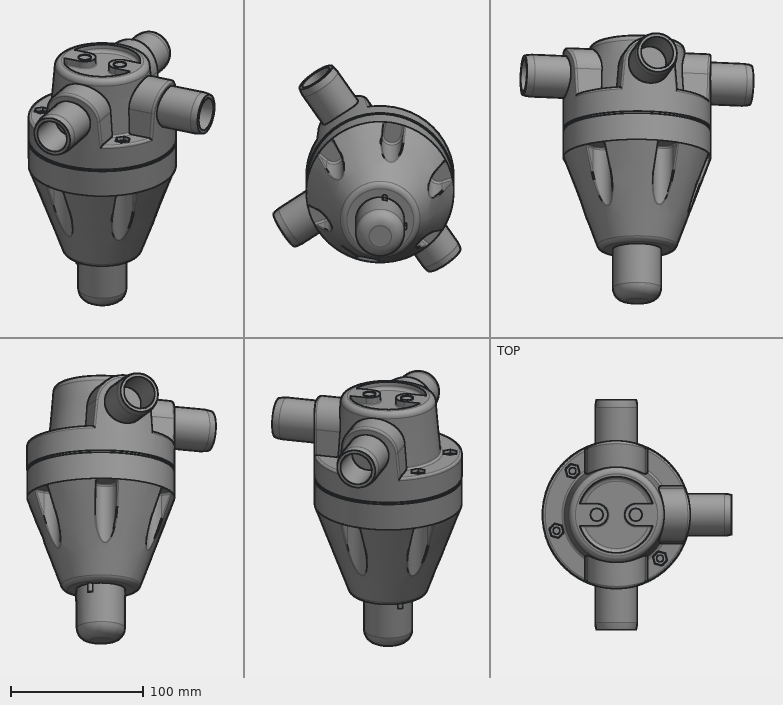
import cadquery as cq
import math

TOLERANCE = 0.02

DRAFT = 5.0

TOTAL_HEIGHT = 199.0
PORT_AXIS_Z = 172.0
HEAD_TOP_Z = 153.6
HEAD_BOTTOM_Z = 134.0
FLANGE_TOP_Z = 132.3
FLANGE_BOTTOM_Z = 111.8
BOWL_BOTTOM_Z = 40.0

HEAD_RADIUS = 56.0
HEAD_RIM_FILLET = 2.0
CAP_BASE_RADIUS = 39.6
CAP_BASE_FILLET = 1.8
CAP_TOP_FILLET = 5.0

RECESS_RADIUS = 28.9
RECESS_DEPTH = 5.4
RECESS_DRAFT = 8.0
RECESS_FLOOR_FILLET = 3.0
TAB_WIDTH = 16.5
TAB_OFFSET = 14.7
TAB_DRAFT = 2.0
TAB_FOOT_FILLET = 0.5
DIMPLE_RADIUS = 4.8
DIMPLE_DEPTH = 0.5

SIDE_HOUSING_RADIUS = 22.0
END_HOUSING_RADIUS = 20.0
SPIGOT_DIAMETER = 32.0
SPIGOT_RADIUS = SPIGOT_DIAMETER / 2
SPIGOT_REACH_X = 87.2
SPIGOT_REACH_Y = 87.0
SPIGOT_BORE_RADIUS = 12.3
SPIGOT_TIP_LENGTH = 5.5
SPIGOT_TIP_INSET = 1.0

GAP_RADIUS = 55.3
FLANGE_STEP = 0.1
FLANGE_RADIUS = HEAD_RADIUS - FLANGE_STEP
BOWL_BOTTOM_RADIUS = 28.9
BOWL_FILLET = 5.2
PIN_DIAMETER = 36.8
PIN_RADIUS = PIN_DIAMETER / 2
PIN_FILLET = 10.0

RIB_RADIUS = 1.9
RIB_CIRCLE_RADIUS = 18.7
RIB_BOTTOM_Z = 33.5
RIB_ANGLES = (135, 225)

SCREW_CIRCLE_RADIUS = 46.8
SCREW_COUNT = 6
SCREW_START_ANGLE = 15
EXPOSED_SCREW_ANGLES = (135, 195, 315)
HEX_CORNER_DIAMETER = 11.5
HEX_DEPTH = 2.8
HEX_DRAFT = 8.0
HEX_TURN = 30
SCREW_HOLE_RADIUS = 2.5
SLOT_RADIUS = 8.0
SLOT_TOP_FILLET = 1.5
SLOT_RIM_FILLET = 0.8


def cylinder(radius, bottom, top):
    return cq.Workplane("XY").workplane(offset=bottom).circle(radius).extrude(top - bottom)


def polar_point(radius, angle):
    return (radius * math.cos(math.radians(angle)), radius * math.sin(math.radians(angle)))


def distance_from_axis(point):
    return math.hypot(point.x, point.y)


def is_cap_base(edge):
    """True for the circle where the cap meets the head disc."""
    middle = edge.positionAt(0.5)
    at_disc_top = abs(middle.z - HEAD_TOP_Z) < TOLERANCE
    return at_disc_top and abs(distance_from_axis(middle) - CAP_BASE_RADIUS) < TOLERANCE


def make_cap():
    """Head disc with the tapered cap rising from it."""
    cap = (
        cq.Workplane("XY")
        .workplane(offset=HEAD_TOP_Z)
        .circle(CAP_BASE_RADIUS)
        .extrude(TOTAL_HEIGHT - HEAD_TOP_Z, taper=DRAFT)
        .faces(">Z")
        .edges()
        .fillet(CAP_TOP_FILLET)
    )
    disc = cylinder(HEAD_RADIUS, HEAD_BOTTOM_Z, HEAD_TOP_Z)
    return disc.union(cap).edges().filter(is_cap_base).fillet(CAP_BASE_FILLET)


def make_housing(radius, angle):
    """Arch with drafted sides, running outward from the axis and ending on the head cylinder."""
    draft = math.radians(DRAFT)
    drop = PORT_AXIS_Z - HEAD_TOP_Z
    foot = radius / math.cos(draft) + drop * math.tan(draft)
    tangent_x = radius * math.cos(draft)
    tangent_z = radius * math.sin(draft)
    arch = (
        cq.Workplane("YZ", origin=(0, 0, PORT_AXIS_Z))
        .moveTo(-foot, -drop)
        .lineTo(-tangent_x, tangent_z)
        .threePointArc((0, radius), (tangent_x, tangent_z))
        .lineTo(foot, -drop)
        .close()
        .extrude(HEAD_RADIUS + foot)
        .rotate((0, 0, 0), (0, 0, 1), angle)
    )
    return arch.intersect(cylinder(HEAD_RADIUS, HEAD_TOP_Z, TOTAL_HEIGHT))


def is_head_rim(edge):
    """True for upper edges of the head's outer cylinder, across the disc and over each housing."""
    middle = edge.positionAt(0.5)
    on_cylinder = abs(distance_from_axis(middle) - HEAD_RADIUS) < TOLERANCE
    return on_cylinder and middle.z > HEAD_TOP_Z - TOLERANCE


def make_head():
    head = make_cap()
    head = head.union(make_housing(SIDE_HOUSING_RADIUS, 90))
    head = head.union(make_housing(SIDE_HOUSING_RADIUS, 270))
    head = head.union(make_housing(END_HOUSING_RADIUS, 0))
    return head.edges().filter(is_head_rim).fillet(HEAD_RIM_FILLET)


def is_tab_foot(edge):
    """True for recess floor edges along a tab, which lie well inside the outer wall."""
    middle = edge.positionAt(0.5)
    return distance_from_axis(middle) < RECESS_RADIUS - 2 * RECESS_FLOOR_FILLET


def make_recess():
    """Solid to remove from the cap top, leaving the two tabs standing."""
    recess = (
        cq.Workplane("XY")
        .workplane(offset=TOTAL_HEIGHT)
        .circle(RECESS_RADIUS)
        .extrude(-RECESS_DEPTH, taper=RECESS_DRAFT)
        .faces("<Z")
        .edges()
        .fillet(RECESS_FLOOR_FILLET)
    )
    for side in (-1, 1):
        tab = (
            cq.Workplane("XY")
            .workplane(offset=TOTAL_HEIGHT)
            .center(side * (TAB_OFFSET + RECESS_RADIUS / 2), 0)
            .slot2D(RECESS_RADIUS + TAB_WIDTH, TAB_WIDTH)
            .extrude(-RECESS_DEPTH, taper=-TAB_DRAFT)
        )
        recess = recess.cut(tab)
    recess = recess.faces("<Z").edges().filter(is_tab_foot).fillet(TAB_FOOT_FILLET)
    dimples = (
        cq.Workplane("XY")
        .workplane(offset=TOTAL_HEIGHT)
        .pushPoints([(-TAB_OFFSET, 0), (TAB_OFFSET, 0)])
        .circle(DIMPLE_RADIUS)
        .extrude(-DIMPLE_DEPTH)
    )
    return recess.union(dimples)


def make_spigot(reach, angle):
    """Hose spigot from the axis outward, with a rounded tip."""
    tip_radius = SPIGOT_RADIUS - SPIGOT_TIP_INSET
    return (
        cq.Workplane("XY")
        .lineTo(0, -SPIGOT_RADIUS)
        .lineTo(reach - SPIGOT_TIP_LENGTH, -SPIGOT_RADIUS)
        .tangentArcPoint((reach, -tip_radius), relative=False)
        .lineTo(reach, 0)
        .close()
        .revolve(360, (0, 0, 0), (1, 0, 0))
        .translate((0, 0, PORT_AXIS_Z))
        .rotate((0, 0, 0), (0, 0, 1), angle)
    )


def make_bore(reach, angle):
    """Blind bore running from the spigot mouth to the head's outer radius."""
    return (
        cq.Workplane("YZ", origin=(HEAD_RADIUS, 0, PORT_AXIS_Z))
        .circle(SPIGOT_BORE_RADIUS)
        .extrude(reach - HEAD_RADIUS)
        .rotate((0, 0, 0), (0, 0, 1), angle)
    )


def make_slot(angle):
    """Outward-open U-shaped slot around one screw axis, with a rounded ceiling."""
    return (
        cq.Workplane("XY")
        .workplane(offset=BOWL_BOTTOM_Z)
        .center(SCREW_CIRCLE_RADIUS + HEAD_RADIUS / 2, 0)
        .slot2D(HEAD_RADIUS + 2 * SLOT_RADIUS, 2 * SLOT_RADIUS)
        .extrude(FLANGE_BOTTOM_Z - BOWL_BOTTOM_Z)
        .faces(">Z")
        .edges()
        .fillet(SLOT_TOP_FILLET)
        .rotate((0, 0, 0), (0, 0, 1), angle)
    )


def is_slot_rim(edge):
    """True for the curved edges where a slot opens through the outer cone."""
    middle = edge.positionAt(0.5)
    slope = (FLANGE_RADIUS - BOWL_BOTTOM_RADIUS) / (FLANGE_BOTTOM_Z - BOWL_BOTTOM_Z)
    cone_radius = BOWL_BOTTOM_RADIUS + slope * (middle.z - BOWL_BOTTOM_Z)
    on_cone = abs(distance_from_axis(middle) - cone_radius) < TOLERANCE
    below_flange = middle.z < FLANGE_BOTTOM_Z - TOLERANCE
    above_foot = middle.z > BOWL_BOTTOM_Z + BOWL_FILLET
    is_curved = edge.geomType() != "LINE"
    return on_cone and below_flange and above_foot and is_curved


def make_bowl():
    """Lower flange and slotted cone."""
    bowl = (
        cq.Workplane("XZ")
        .moveTo(0, BOWL_BOTTOM_Z)
        .lineTo(BOWL_BOTTOM_RADIUS, BOWL_BOTTOM_Z)
        .lineTo(FLANGE_RADIUS, FLANGE_BOTTOM_Z)
        .lineTo(FLANGE_RADIUS, FLANGE_TOP_Z)
        .lineTo(0, FLANGE_TOP_Z)
        .close()
        .revolve(360, (0, 0, 0), (0, 1, 0))
        .faces("<Z")
        .edges()
        .fillet(BOWL_FILLET)
    )
    for index in range(SCREW_COUNT):
        bowl = bowl.cut(make_slot(SCREW_START_ANGLE + index * 360 / SCREW_COUNT))
    return bowl.edges().filter(is_slot_rim).fillet(SLOT_RIM_FILLET)


def make_pin():
    """Round-ended drain pin with its bayonet ribs."""
    pin = cylinder(PIN_RADIUS, 0, BOWL_BOTTOM_Z).faces("<Z").edges().fillet(PIN_FILLET)
    for angle in RIB_ANGLES:
        rib = cylinder(RIB_RADIUS, RIB_BOTTOM_Z, BOWL_BOTTOM_Z)
        x, y = polar_point(RIB_CIRCLE_RADIUS, angle)
        pin = pin.union(rib.translate((x, y, 0)))
    return pin


def make_screw_recess(angle):
    """Hexagon pocket with a blind screw hole through the head disc."""
    pocket = (
        cq.Workplane("XY")
        .workplane(offset=HEAD_TOP_Z)
        .polygon(6, HEX_CORNER_DIAMETER)
        .extrude(-HEX_DEPTH, taper=HEX_DRAFT)
        .rotate((0, 0, 0), (0, 0, 1), HEX_TURN)
    )
    hole = cylinder(SCREW_HOLE_RADIUS, HEAD_BOTTOM_Z, HEAD_TOP_Z)
    return (
        pocket.union(hole)
        .translate((SCREW_CIRCLE_RADIUS, 0, 0))
        .rotate((0, 0, 0), (0, 0, 1), angle)
    )


ports = ((SPIGOT_REACH_X, 0), (SPIGOT_REACH_Y, 90), (SPIGOT_REACH_Y, 270))

result = make_head()
for port_reach, port_angle in ports:
    result = result.union(make_spigot(port_reach, port_angle))
for port_reach, port_angle in ports:
    result = result.cut(make_bore(port_reach, port_angle))
result = result.cut(make_recess())
for screw_angle in EXPOSED_SCREW_ANGLES:
    result = result.cut(make_screw_recess(screw_angle))

result = result.union(cylinder(GAP_RADIUS, FLANGE_TOP_Z, HEAD_BOTTOM_Z))
result = result.union(make_bowl())
result = result.union(make_pin())